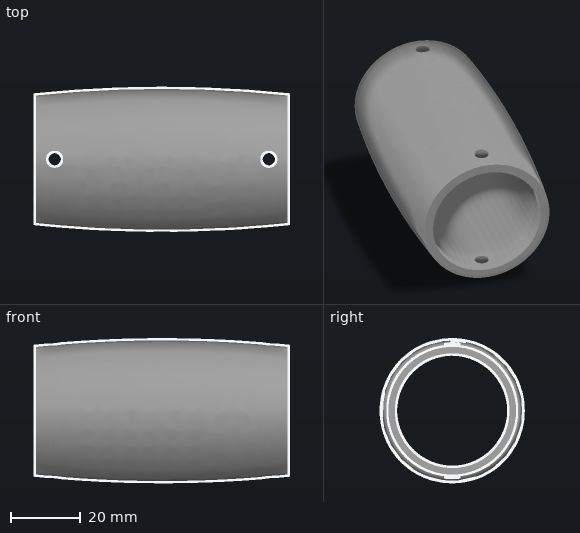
import cadquery as cq

length = 73.0
middle_diameter = 41.1
end_diameter = 37.3
bore_diameter = 32.2

hole_diameter = 4.15
hole_end_distance = 5.8

half_length = length / 2
bore_radius = bore_diameter / 2
end_radius = end_diameter / 2
middle_radius = middle_diameter / 2
hole_offset = half_length - hole_end_distance

sleeve = (
    cq.Workplane("XY")
    .moveTo(-half_length, bore_radius)
    .lineTo(-half_length, end_radius)
    .threePointArc((0, middle_radius), (half_length, end_radius))
    .lineTo(half_length, bore_radius)
    .close()
    .revolve(360, (0, 0, 0), (1, 0, 0))
)

cross_holes = (
    cq.Workplane("XY")
    .pushPoints([(-hole_offset, 0), (hole_offset, 0)])
    .circle(hole_diameter / 2)
    .extrude(middle_radius, both=True)
)

result = sleeve.cut(cross_holes)